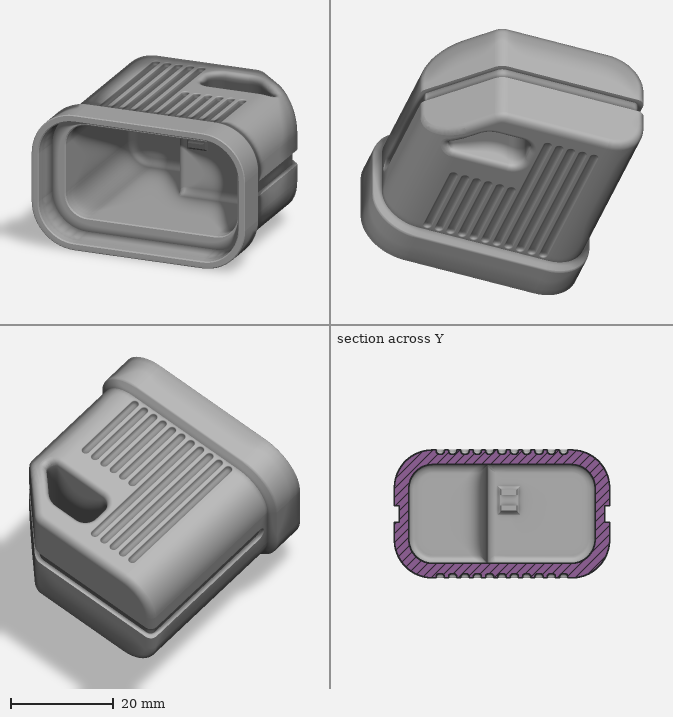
import cadquery as cq
import math

WIDTH = 45.0
LENGTH = 42.75
HEIGHT = 28.0

COLLAR_RADIUS = 9.0
COLLAR_STEP = 1.5
COLLAR_LENGTH = 6.98
COLLAR_TAPER = 1.2
COLLAR_EDGE_FILLET = 0.5
COLLAR_RIM_CHAMFER = 0.2

BODY_HALF_WIDTH = WIDTH / 2 - COLLAR_STEP
BODY_HALF_HEIGHT = HEIGHT / 2 - COLLAR_STEP
BODY_END_FILLET = 1.5
SLOPE_START_X = 8.85
SLOPE_CORNER_RADIUS = 3.35

SOCKET_INSET = 1.5
SOCKET_DEPTH = 6.75
SOCKET_TAPER_START = 2.25
SOCKET_TAPER = 0.2
SOCKET_RIM_CHAMFER = 0.23

HOLE_LEFT = 0.1
HOLE_BOTTOM = 29.9
HOLE_TOP = 37.65
HOLE_SLOPE_TOP_X = 9.65
HOLE_TIP_X = HOLE_SLOPE_TOP_X + HOLE_TOP - HOLE_BOTTOM
HOLE_LEFT_RADIUS = 2.6
HOLE_TOP_RADIUS = 4.5
HOLE_TIP_RADIUS = 1.3
HOLE_EDGE_FILLET = 1.1

WALL = 2.93
CAVITY_RIM_CHAMFER = 0.23
CAVITY_FILLET = 1.5
CAVITY_STEP_X = HOLE_LEFT - WALL
CAVITY_DEEP_END = LENGTH - WALL
CAVITY_SHALLOW_END = HOLE_BOTTOM - WALL

CLIP_X = 1.35
CLIP_Z = 2.65
CLIP_WIDTH = 4.35
CLIP_HEIGHT = 5.5
CLIP_BASE = 0.4
CLIP_BASE_TAPER = 45.0
CLIP_JAW_HEIGHT = 0.9
CLIP_JAW_TAPER = 22.0
CLIP_SLOT = 2.05

BAND_WIDTH = 3.05
BAND_DEPTH = 0.95
BAND_START = 9.2
BAND_CORNER_RADIUS = 1.1

GRIP_COUNT = 11
GRIP_LONG_COUNT = 5
GRIP_SPAN = 24.05
GRIP_PITCH = GRIP_SPAN / (GRIP_COUNT - 1)
GRIP_WIDTH = 1.5
GRIP_DEPTH = 0.8
GRIP_EDGE_FILLET = 0.2
GRIP_FLOOR_FILLET = 0.5
GRIP_START = 8.75
GRIP_LONG_END = 38.8
GRIP_SHORT_END = 24.8
TOLERANCE = 0.05


def section(inset):
    """Cross-section of the part: the collar outline moved inwards by inset."""
    outline = cq.Sketch().rect(WIDTH - 2 * inset, HEIGHT - 2 * inset)
    return outline.vertices().fillet(COLLAR_RADIUS - inset)


def prism(inset, start, end):
    """Straight rounded prism along Y."""
    return cq.Workplane("XZ", origin=(0, start, 0)).placeSketch(section(inset)).extrude(start - end)


def tapered_prism(start_inset, start, end_inset, end):
    """Rounded prism along Y that changes evenly from one inset to another."""
    far_section = section(end_inset).moved(cq.Location(cq.Vector(0, 0, start - end)))
    return cq.Workplane("XZ", origin=(0, start, 0)).placeSketch(section(start_inset), far_section).loft()


def centred_between(low, high):
    """Selector for edges whose centre lies between two (x, y, z) corners."""
    return cq.selectors.BoxSelector(low, high)


def edges_at(y):
    """Selector for edges lying across the part at y."""
    return centred_between((-WIDTH, y - TOLERANCE, -HEIGHT), (WIDTH, y + TOLERANCE, HEIGHT))


def nearest_edge(x, y):
    """Selector for the edge parallel to Z closest to a point in plan."""
    return cq.selectors.NearestToPointSelector((x, y, 0))


def body_plan(inset):
    """Plan outline of the body, moved inwards, with the cut-off corner at +X."""
    right = BODY_HALF_WIDTH - inset
    back = LENGTH - inset
    slope_x = SLOPE_START_X - inset * math.tan(math.pi / 8)
    points = [(-right, 0), (right, 0), (right, back - (right - slope_x)), (slope_x, back), (-right, back)]
    plan = cq.Workplane("XY").polyline(points).close().extrude(BODY_HALF_HEIGHT, both=True)
    return plan.edges(nearest_edge(slope_x, back)).fillet(SLOPE_CORNER_RADIUS - inset)


def make_body():
    """Body behind the collar, with its back rim rounded."""
    body = prism(COLLAR_STEP, 0, LENGTH).intersect(body_plan(0))
    slope_end_y = LENGTH - (BODY_HALF_WIDTH - SLOPE_START_X)
    y_low = slope_end_y - TOLERANCE
    y_high = LENGTH + TOLERANCE
    back_rim = centred_between((-WIDTH, y_low, -HEIGHT), (WIDTH, y_high, HEIGHT))
    seams = centred_between(
        (SLOPE_START_X - SLOPE_CORNER_RADIUS, y_low, -TOLERANCE),
        (SLOPE_START_X + SLOPE_CORNER_RADIUS, y_high, TOLERANCE),
    )
    return body.edges(back_rim - seams).fillet(BODY_END_FILLET)


def make_collar():
    """Solid collar with its taper down to the body."""
    taper_end = COLLAR_LENGTH + COLLAR_TAPER
    collar = prism(0, 0, COLLAR_LENGTH)
    collar = collar.faces("<Y").chamfer(COLLAR_RIM_CHAMFER)
    collar = collar.union(tapered_prism(0, COLLAR_LENGTH, COLLAR_STEP, taper_end))
    return collar.edges(edges_at(COLLAR_LENGTH)).fillet(COLLAR_EDGE_FILLET)


def make_socket():
    """Cutter for the opening inside the collar."""
    rim = tapered_prism(SOCKET_INSET - SOCKET_RIM_CHAMFER, 0, SOCKET_INSET, SOCKET_RIM_CHAMFER)
    straight = prism(SOCKET_INSET, SOCKET_RIM_CHAMFER, SOCKET_TAPER_START)
    taper = tapered_prism(SOCKET_INSET, SOCKET_TAPER_START, SOCKET_INSET + SOCKET_TAPER, SOCKET_DEPTH)
    return rim.union(straight).union(taper)


def make_cavity():
    """Cutter for the stepped cavity with rounded floors and a chamfered mouth."""
    inset = COLLAR_STEP + WALL
    cavity = prism(inset, SOCKET_DEPTH, CAVITY_DEEP_END)
    depth_step = CAVITY_DEEP_END - CAVITY_SHALLOW_END
    beside = cq.Workplane("XY").box(WIDTH, depth_step, HEIGHT, centered=(False, False, True))
    cavity = cavity.cut(beside.translate((CAVITY_STEP_X, CAVITY_SHALLOW_END, 0)))
    floor_edges = edges_at(CAVITY_SHALLOW_END) + edges_at(CAVITY_DEEP_END)
    cavity = cavity.edges(floor_edges).fillet(CAVITY_FILLET)
    rim_end = SOCKET_DEPTH + CAVITY_RIM_CHAMFER
    rim = tapered_prism(inset - CAVITY_RIM_CHAMFER, SOCKET_DEPTH, inset, rim_end)
    return cavity.union(rim)


def make_clip():
    """Tapered base carrying two tapered jaws that point to the open end."""
    jaw_width = CLIP_WIDTH - 2 * CLIP_BASE
    jaw_height = CLIP_HEIGHT - 2 * CLIP_BASE
    jaw_start = CAVITY_SHALLOW_END - CLIP_BASE
    floor_plane = cq.Workplane("XZ", origin=(CLIP_X, CAVITY_SHALLOW_END, CLIP_Z))
    jaw_plane = cq.Workplane("XZ", origin=(CLIP_X, jaw_start, CLIP_Z))
    base = floor_plane.rect(CLIP_WIDTH, CLIP_HEIGHT).extrude(CLIP_BASE, taper=CLIP_BASE_TAPER)
    jaws = jaw_plane.rect(jaw_width, jaw_height).extrude(CLIP_JAW_HEIGHT, taper=CLIP_JAW_TAPER)
    slot = jaw_plane.rect(CLIP_WIDTH, CLIP_SLOT).extrude(CLIP_JAW_HEIGHT)
    return base.union(jaws.cut(slot))


def make_band():
    """Cutter for the band groove, which follows the plan outline at constant depth."""
    length = 2 * (LENGTH - BAND_START)
    plate = (
        cq.Workplane("YZ")
        .center(LENGTH, 0)
        .slot2D(length, BAND_WIDTH)
        .extrude(WIDTH / 2, both=True)
    )
    core = body_plan(BAND_DEPTH).edges(nearest_edge(-BODY_HALF_WIDTH, LENGTH)).fillet(BAND_CORNER_RADIUS)
    return plate.cut(core)


def make_hole():
    """Cutter for the hand hole, with one radius for each corner."""
    corners = [
        (HOLE_LEFT, HOLE_BOTTOM, HOLE_LEFT_RADIUS),
        (HOLE_TIP_X, HOLE_BOTTOM, HOLE_TIP_RADIUS),
        (HOLE_SLOPE_TOP_X, HOLE_TOP, HOLE_TOP_RADIUS),
        (HOLE_LEFT, HOLE_TOP, HOLE_LEFT_RADIUS),
    ]
    outline = cq.Workplane("XY").polyline([(x, y) for x, y, radius in corners]).close()
    hole = outline.extrude(HEIGHT / 2, both=True)
    for x, y, radius in corners:
        hole = hole.edges(nearest_edge(x, y)).fillet(radius)
    return hole


def make_grip(index):
    """Cutter for one grip groove in the top face; the first ones are long."""
    end = GRIP_LONG_END if index < GRIP_LONG_COUNT else GRIP_SHORT_END
    x = (index - (GRIP_COUNT - 1) / 2) * GRIP_PITCH
    groove = (
        cq.Workplane("XY", origin=(x, (GRIP_START + end) / 2, BODY_HALF_HEIGHT - GRIP_DEPTH))
        .slot2D(end - GRIP_START, GRIP_WIDTH, 90)
        .extrude(HEIGHT)
    )
    return groove.faces("<Z").edges().fillet(GRIP_FLOOR_FILLET)


def cut_hole(body):
    """Cut the hand hole and round both of its rims, leaving its inner seams alone."""
    body = body.cut(make_hole())
    low = (HOLE_LEFT - TOLERANCE, HOLE_BOTTOM - TOLERANCE)
    high = (HOLE_TIP_X, HOLE_TOP + TOLERANCE)
    rims = centred_between((*low, -HEIGHT), (*high, HEIGHT))
    seams = centred_between((*low, -TOLERANCE), (*high, TOLERANCE))
    return body.edges(rims - seams).fillet(HOLE_EDGE_FILLET)


def cut_grips(body):
    """Cut the grip grooves into the top and bottom faces and round their edges."""
    for index in range(GRIP_COUNT):
        groove = make_grip(index)
        body = body.cut(groove).cut(groove.mirror("XY"))
    for side in (">Z", "<Z"):
        openings = body.faces(side).val().innerWires()
        body = body.newObject(openings).edges().fillet(GRIP_EDGE_FILLET)
    return body


result = cut_hole(make_body())
result = result.cut(make_band())
result = cut_grips(result)
result = result.union(make_collar())
result = result.cut(make_socket()).cut(make_cavity())
result = result.union(make_clip())